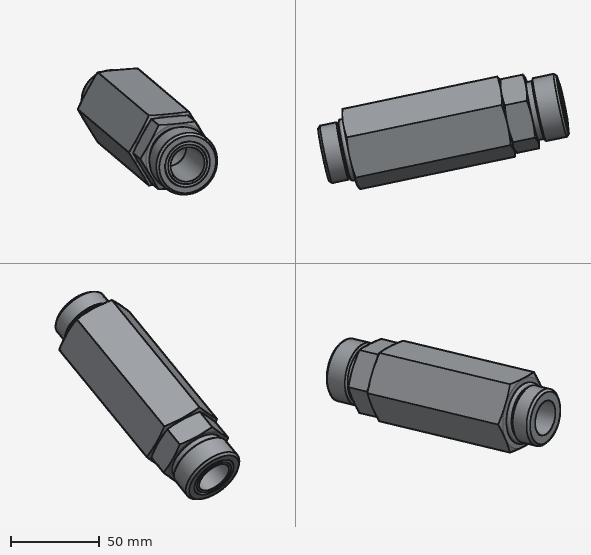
import cadquery as cq
import math

STUD_THREAD_END = 11.0
HOUSING_FACE = 15.1
JOINT = 106.2
FITTING_HEX_END = 120.5
NECK_END = 123.8
FITTING_FACE = 138.1
OVERALL_LENGTH = 138.6

BORE_DIA = 20.2

FLANK_ANGLE = math.radians(30)

HOUSING_CORNERS = 47.7
HOUSING_FLATS = HOUSING_CORNERS * math.cos(math.pi / 6)
STUD_DIA = 33.3
STUD_TIP_DIA = 30.4
STUD_TIP_CHAMFER = (STUD_DIA - STUD_TIP_DIA) / 2
STUD_GROOVE_DIA = 30.4
HEX_CHAMFER = 0.8

STUD_SEAL_OUTER_DIA = 35.6
STUD_SEAL_CORD = 2.9

FITTING_FLATS = 38.0
NECK_DIA = 33.5
HEAD_DIA = 36.5
HEAD_FRONT_CHAMFER = 1.4

FACE_SEAL_OUTER_DIA = 26.8
FACE_SEAL_CORD = 1.8


def revolve_profile(points):
    """Solid of revolution about X from (x, radius) points."""
    return cq.Workplane("XY").polyline(points).close().revolve(360, (0, 0, 0), (1, 0, 0))


def flank_length(large_dia, small_dia):
    """Axial length of a conical flank between two diameters."""
    return (large_dia - small_dia) / 2 * math.tan(FLANK_ANGLE)


def cylinder(start, end, diameter):
    """Round bar along X."""
    return cq.Workplane("YZ", origin=(start, 0, 0)).circle(diameter / 2).extrude(end - start)


def hexagon(start, end, flats):
    """Hexagonal bar along X, flats up and down, with turned chamfers at both ends."""
    corners = flats / math.cos(math.pi / 6)
    bar = cq.Workplane("YZ", origin=(start, 0, 0)).polygon(6, corners).extrude(end - start)
    envelope = revolve_profile([
        (start, 0),
        (start, flats / 2),
        (start + HEX_CHAMFER, corners / 2),
        (end - HEX_CHAMFER, corners / 2),
        (end, flats / 2),
        (end, 0),
    ])
    return bar.intersect(envelope)


def o_ring(centre_x, outer_dia, cord):
    """Ring of round cord lying square to X."""
    ring_radius = (outer_dia - cord) / 2
    return (
        cq.Workplane("XY")
        .center(centre_x, ring_radius)
        .circle(cord / 2)
        .revolve(360, (-centre_x, -ring_radius, 0), (1.4 - centre_x, -ring_radius, 0))
    )


def make_stud_seal():
    """O-ring in the groove behind the stud."""
    return o_ring(HOUSING_FACE - STUD_SEAL_CORD / 2, STUD_SEAL_OUTER_DIA, STUD_SEAL_CORD)


def make_face_seal():
    """O-ring standing proud of the fitting's end face."""
    return o_ring(OVERALL_LENGTH - FACE_SEAL_CORD / 2, FACE_SEAL_OUTER_DIA, FACE_SEAL_CORD)


def make_housing():
    """Hexagonal housing with its round stud, groove and through bore."""
    stud = revolve_profile([
        (0, 0),
        (0, STUD_TIP_DIA / 2),
        (STUD_TIP_CHAMFER, STUD_DIA / 2),
        (STUD_THREAD_END, STUD_DIA / 2),
        (STUD_THREAD_END + flank_length(STUD_DIA, STUD_GROOVE_DIA), STUD_GROOVE_DIA / 2),
        (HOUSING_FACE, STUD_GROOVE_DIA / 2),
        (HOUSING_FACE, 0),
    ])
    body = hexagon(HOUSING_FACE, JOINT, HOUSING_FLATS).union(stud)
    return body.cut(cylinder(0, JOINT, BORE_DIA)).cut(make_stud_seal())


def make_fitting():
    """Hexagonal end fitting with neck, round head, through bore and face-seal groove."""
    head_radius = HEAD_DIA / 2
    stub = revolve_profile([
        (FITTING_HEX_END, 0),
        (FITTING_HEX_END, NECK_DIA / 2),
        (NECK_END, NECK_DIA / 2),
        (NECK_END + flank_length(HEAD_DIA, NECK_DIA), head_radius),
        (FITTING_FACE - HEAD_FRONT_CHAMFER, head_radius),
        (FITTING_FACE, head_radius - HEAD_FRONT_CHAMFER),
        (FITTING_FACE, 0),
    ])
    body = hexagon(JOINT, FITTING_HEX_END, FITTING_FLATS).union(stub)
    return body.cut(cylinder(JOINT, FITTING_FACE, BORE_DIA)).cut(make_face_seal())


housing = make_housing()
stud_seal = make_stud_seal()
fitting = make_fitting()
face_seal = make_face_seal()

result = cq.Compound.makeCompound([
    housing.solids().val(),
    stud_seal.val(),
    fitting.solids().val(),
    face_seal.val(),
])